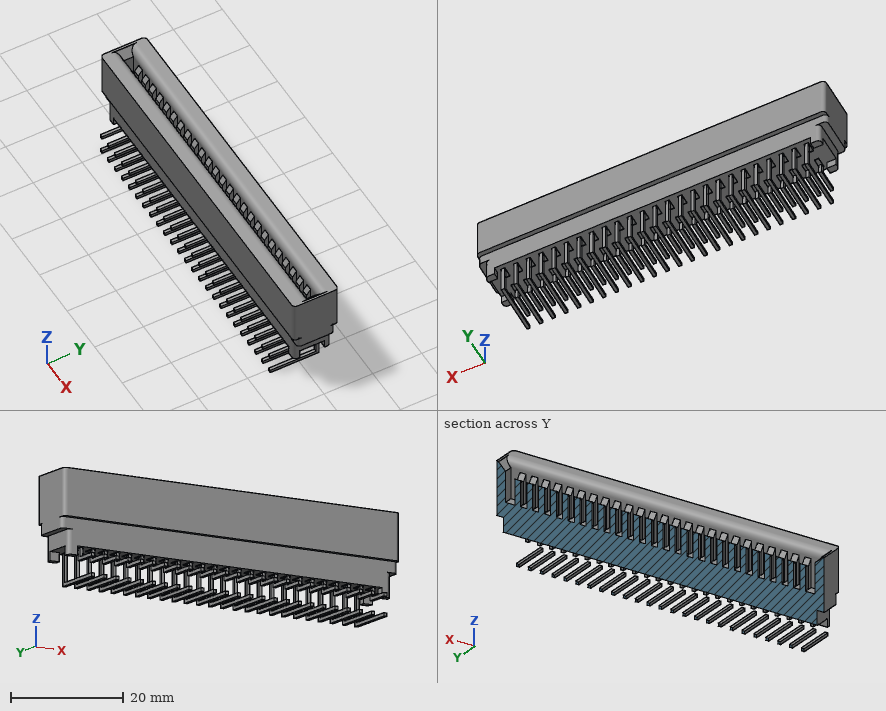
import cadquery as cq


LENGTH = 70.1
WIDTH = 9.25
UPPER_HEIGHT = 8.8
END_HEIGHT = 10.95
BODY_HEIGHT = 13.9
SIDE_STEP = 0.85
END_STEP = 1.4
CORNER_RADIUS = 0.8

FOOT_DEPTH = 15.55
FOOT_LENGTH = 1.9
FOOT_WIDTH = 1.25

RIM_LENGTH = 69.1
RIM_WIDTH = 5.05
SLOT_WIDTH = 2.1
SLOT_DEPTH = 7.7
LEAD_IN = (RIM_WIDTH - SLOT_WIDTH) / 2
SLOT_LENGTH = RIM_LENGTH - 2 * LEAD_IN
END_RIM_DEPTH = 0.1

CONTACT_COUNT = 25
ROW_LENGTH = 61.0
PITCH = ROW_LENGTH / (CONTACT_COUNT - 1)
CONTACT_WIDTH = 1.3
CONTACT_GAP = 0.4
CONTACT_TOP_DEPTH = 1.95
CONTACT_SLOPE_DEPTH = 1.1
CONTACT_ROOT = 0.2
PAD_LENGTH = 0.85
PAD_HEIGHT = 0.15
PAD_INNER_Y = 1.0
TAIL_THICKNESS = 0.6
TAIL_ROW_Y = 2.65
TAIL_TIP_Y = -7.0
SHORT_TAIL_DEPTH = 16.2
LONG_TAIL_DEPTH = 19.9


def box(x_range, y_range, z_range):
    """Axis-aligned block between pairs of limits."""
    (x0, x1), (y0, y1), (z0, z1) = x_range, y_range, z_range
    return cq.Workplane("XY").box(x1 - x0, y1 - y0, z1 - z0, centered=False).translate((x0, y0, z0))


def rounded_block(length, width, depth):
    """Block with rounded upright corners, hanging from the mating face."""
    block = cq.Workplane("XY").rect(length, width).extrude(-depth)
    return block.edges("|Z").fillet(CORNER_RADIUS)


def make_housing():
    """Stepped body with four feet left standing at its lower corners."""
    lower_length = LENGTH - 2 * END_STEP
    lower_width = WIDTH - 2 * SIDE_STEP
    feet = rounded_block(lower_length, lower_width, FOOT_DEPTH)
    underside = (-FOOT_DEPTH, -BODY_HEIGHT)
    half_span = lower_length / 2 - FOOT_LENGTH
    half_gap = lower_width / 2 - FOOT_WIDTH
    feet = feet.cut(box((-half_span, half_span), (-WIDTH, WIDTH), underside))
    feet = feet.cut(box((-LENGTH, LENGTH), (-half_gap, half_gap), underside))
    upper = rounded_block(LENGTH, WIDTH, UPPER_HEIGHT)
    ends = rounded_block(LENGTH, lower_width, END_HEIGHT)
    return upper.union(ends).union(feet)


def make_slot():
    """Cutter for the card slot: rounded long sides trimmed by sloped ends."""
    half_rim = RIM_WIDTH / 2
    half_slot = SLOT_WIDTH / 2
    cross_section = (
        cq.Workplane("YZ")
        .moveTo(-half_rim, 0)
        .radiusArc((-half_slot, -LEAD_IN), LEAD_IN)
        .lineTo(-half_slot, -SLOT_DEPTH)
        .lineTo(half_slot, -SLOT_DEPTH)
        .lineTo(half_slot, -LEAD_IN)
        .radiusArc((half_rim, 0), LEAD_IN)
        .close()
        .extrude(RIM_LENGTH / 2, both=True)
    )
    half_top = RIM_LENGTH / 2
    half_floor = SLOT_LENGTH / 2
    slope_foot = -END_RIM_DEPTH - LEAD_IN
    long_section = (
        cq.Workplane("XZ")
        .polyline([
            (-half_top, 0),
            (-half_top, -END_RIM_DEPTH),
            (-half_floor, slope_foot),
            (-half_floor, -SLOT_DEPTH),
            (half_floor, -SLOT_DEPTH),
            (half_floor, slope_foot),
            (half_top, -END_RIM_DEPTH),
            (half_top, 0),
        ])
        .close()
        .extrude(half_rim, both=True)
    )
    return cross_section.intersect(long_section)


def make_contact(side):
    """Spring contact on one slot wall (side is +1 or -1), tapered at its top."""
    wall_y = side * (SLOT_WIDTH / 2 + CONTACT_ROOT)
    tip_y = side * CONTACT_GAP / 2
    slope_start_y = side * SLOT_WIDTH / 2
    top = -CONTACT_TOP_DEPTH
    return (
        cq.Workplane("YZ")
        .polyline([
            (wall_y, top),
            (slope_start_y, top),
            (tip_y, top - CONTACT_SLOPE_DEPTH),
            (tip_y, -SLOT_DEPTH - CONTACT_ROOT),
            (wall_y, -SLOT_DEPTH - CONTACT_ROOT),
        ])
        .close()
        .extrude(CONTACT_WIDTH / 2, both=True)
    )


def make_tail(side, depth):
    """L-shaped solder tail with its pad, leaving the underside and bending towards -Y."""
    half = TAIL_THICKNESS / 2
    row_y = side * TAIL_ROW_Y
    across = (-half, half)
    upright = box(across, (row_y - half, row_y + half), (-depth, -BODY_HEIGHT))
    foot = box(across, (TAIL_TIP_Y, row_y + half), (-depth, TAIL_THICKNESS - depth))
    pad_y = sorted((side * PAD_INNER_Y, row_y + side * half))
    pad = box((-PAD_LENGTH / 2, PAD_LENGTH / 2), pad_y, (-BODY_HEIGHT - PAD_HEIGHT, -BODY_HEIGHT))
    return upright.union(foot).union(pad)


def repeat_along_row(shape):
    """Copies of a shape at every contact position."""
    solid = shape.val()
    copies = [
        solid.translate(cq.Vector(i * PITCH - ROW_LENGTH / 2, 0, 0))
        for i in range(CONTACT_COUNT)
    ]
    return cq.Workplane("XY").newObject(copies).combine(glue=True)


result = make_housing().cut(make_slot())
for side, tail_depth in ((1, LONG_TAIL_DEPTH), (-1, SHORT_TAIL_DEPTH)):
    result = result.union(repeat_along_row(make_contact(side)))
    result = result.union(repeat_along_row(make_tail(side, tail_depth)))